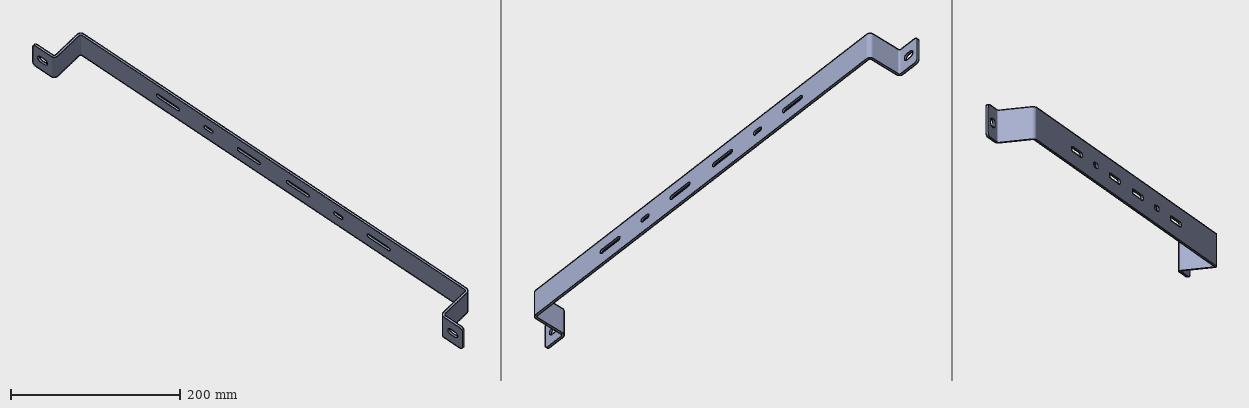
import cadquery as cq

length = 662.0
depth = 50.0
height = 40.0

thickness = 3.0
inner_radius = 2.3
outer_radius = inner_radius + thickness

body_width = 600.0
corner_radius = 4.95

mount_inset = 15.0
mount_length = 15.0
mount_width = 10.0

slot_width = 6.0
long_slot = 35.0
short_slot = 14.0
first_slot_x = 38.0
slot_pitch = 62.0
web_slot_lengths = [long_slot, short_slot, long_slot]


def bent_strip():
    """Hat-shaped strip of constant thickness, centred in X and Z, flanges at -Y."""
    half_length = length / 2
    wall_outer = body_width / 2
    wall_inner = wall_outer - thickness
    front = -depth / 2
    back = depth / 2

    def half(side):
        profile = (
            cq.Workplane("XY")
            .moveTo(0, back)
            .lineTo(side * (wall_outer - outer_radius), back)
            .radiusArc((side * wall_outer, back - outer_radius), side * outer_radius)
            .lineTo(side * wall_outer, front + outer_radius)
            .radiusArc((side * (wall_outer + inner_radius), front + thickness), -side * inner_radius)
            .lineTo(side * half_length, front + thickness)
            .lineTo(side * half_length, front)
            .lineTo(side * (wall_outer + inner_radius), front)
            .radiusArc((side * wall_inner, front + outer_radius), side * outer_radius)
            .lineTo(side * wall_inner, back - outer_radius)
            .radiusArc((side * (wall_outer - outer_radius), back - thickness), -side * inner_radius)
            .lineTo(0, back - thickness)
            .close()
        )
        return profile.extrude(height / 2, both=True)

    return half(1).union(half(-1)).edges("|Y and (<X or >X)").fillet(corner_radius)


def slot_cutter(x, slot_length, width):
    """Round-ended slot along X, long enough in Y to pass through the whole part."""
    return cq.Workplane("XZ").center(x, 0).slot2D(slot_length, width).extrude(depth, both=True)


result = bent_strip()
for side in (-1, 1):
    mount_x = side * (length / 2 - mount_inset)
    result = result.cut(slot_cutter(mount_x, mount_length, mount_width))
    for index, slot_length in enumerate(web_slot_lengths):
        slot_x = side * (first_slot_x + index * slot_pitch)
        result = result.cut(slot_cutter(slot_x, slot_length, slot_width))